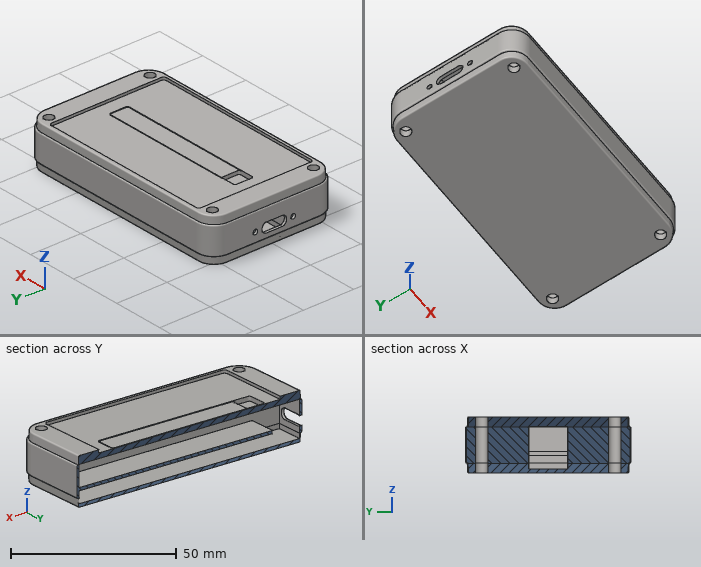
import cadquery as cq

length = 86.4
width = 50.0
housing_radius = 6.7
edge_fillet = 0.5

cover_height = 3.0
housing_height = 11.0
housing_top = cover_height + housing_height
total_height = housing_top + cover_height

cover_inset = 0.5
cover_length = length - 2 * cover_inset
cover_width = width - 2 * cover_inset
cover_draft = 3.0
base_radius = housing_radius - cover_inset
lid_radius = 6.5

screw_hole_diameter = 3.6
screw_spacing_x = 75.8
screw_spacing_y = 40.25

recess_length = 69.35
recess_width = 45.8
recess_depth = 1.0
recess_radius = 1.2
groove_length = 58.4
groove_width = 7.4
groove_depth = 0.3
groove_radius = 0.8
window_length = 6.6
window_depth = 1.4
recess_floor = total_height - recess_depth
groove_floor = recess_floor - groove_depth
window_floor = groove_floor - window_depth

port_width = 9.8
port_height = 3.8
port_corner_diameter = 3.6
port_z = 7.0
pilot_hole_diameter = 1.8
pilot_hole_spacing = 15.0

wall = 1.0
channel_width = 11.75
channel_length = length - 2 * wall
channel_floor = 1.3
shelf_gap = 10.4
shelf_length = channel_length - shelf_gap
shelf_bottom = 5.35
shelf_top = 6.6


def rounded_block(size_x, size_y, radius, bottom, top):
    """Upright block with rounded vertical corners, centred on the Z axis."""
    block = cq.Workplane("XY", origin=(0, 0, bottom)).rect(size_x, size_y).extrude(top - bottom)
    return block.edges("|Z").fillet(radius)


def drafted_plate(radius, start, height):
    """Cover plate that narrows from its full outline at z = start; a negative height runs down."""
    outline = cq.Sketch().rect(cover_length, cover_width).vertices().fillet(radius)
    plane = cq.Workplane("XY", origin=(0, 0, start))
    return plane.placeSketch(outline).extrude(height, taper=cover_draft)


def screw_holes():
    """Cutters for the four screws, as tall as the whole stack."""
    centres = cq.Workplane("XY").rect(screw_spacing_x, screw_spacing_y, forConstruction=True).vertices()
    return centres.circle(screw_hole_diameter / 2).extrude(total_height)


def channel():
    """Room behind the port, from the base up to the lid, less the shelf that splits it."""
    room = cq.Workplane("XY", origin=(0, 0, channel_floor)).rect(channel_length, channel_width)
    room = room.extrude(housing_top - channel_floor)
    shelf_centre = (channel_length - shelf_length) / 2
    shelf = cq.Workplane("XY", origin=(shelf_centre, 0, shelf_bottom)).rect(shelf_length, channel_width)
    return room.cut(shelf.extrude(shelf_top - shelf_bottom))


def port_openings():
    """Rounded port and its two pilot holes, cut through the -X wall into the channel."""
    port_face = cq.Workplane("YZ", origin=(-length / 2, 0, port_z))
    port = port_face.rect(port_width, port_height).extrude(wall)
    port = port.edges("|X").fillet(port_corner_diameter / 2)
    pilot_offset = pilot_hole_spacing / 2
    pilots = port_face.pushPoints([(-pilot_offset, 0), (pilot_offset, 0)])
    return port.union(pilots.circle(pilot_hole_diameter / 2).extrude(wall))


def make_base():
    plate = drafted_plate(base_radius, cover_height, -cover_height)
    plate = plate.faces("<Z").edges().fillet(edge_fillet)
    return plate.cut(screw_holes()).cut(channel())


def make_housing():
    block = rounded_block(length, width, housing_radius, cover_height, housing_top)
    block = block.faces("<Z or >Z").edges().fillet(edge_fillet)
    return block.cut(screw_holes()).cut(channel()).cut(port_openings())


def make_lid():
    plate = drafted_plate(lid_radius, housing_top, cover_height)
    plate = plate.faces(">Z").edges().fillet(edge_fillet)
    recess = rounded_block(recess_length, recess_width, recess_radius, recess_floor, total_height)
    groove = rounded_block(groove_length, groove_width, groove_radius, groove_floor, recess_floor)
    window = rounded_block(window_length, groove_width, groove_radius, window_floor, recess_floor)
    window = window.translate(((window_length - groove_length) / 2, 0, 0))
    return plate.cut(screw_holes()).cut(recess).cut(groove).cut(window)


base = make_base()
housing = make_housing()
lid = make_lid()
result = cq.Compound.makeCompound([base.val(), housing.val(), lid.val()])